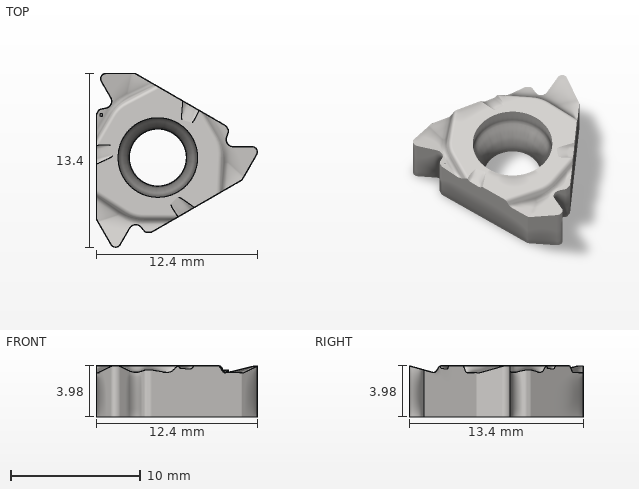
import cadquery as cq
import math

CORNER_ANGLES = (0, 120, 240)
TOP_Z = 3.98

SIDE_DISTANCE = 4.75
TIP_X = -3.26
TIP_END_Y = -6.93
TIP_RADIUS = 0.42
FLANK_ANGLE = 60
NOTCH_ANGLE = 49
NOTCH_RADIUS = 0.54
HEEL_Y = -5.79
HEEL_START_X = -0.95
HEEL_RADIUS = 0.27
HEEL_SIDE_RADIUS = 0.32
SIDE_CORNER_RADIUS = 0.21

RAKE_ANGLE = 15.7
RAKE_TIP_Z = 3.96
TILT_ANGLE = 5.1
TILT_SIDE_Z = 3.42
WALL_DRAFT = 30
WALL_TOP_RADIUS = 0.32
WALL_FOOT_RADIUS = 0.3
PLATFORM_Y = -4.42
PLATFORM_SIDE_Y = -2.5
PLATFORM_TURN = 32.4
PLATFORM_RADIUS = 2.35
WALL_BEND = (-1.76, -4.5)
POCKET_REACH = 5.37
POCKET_DEPTH = 1.21
BLOCK_SIZE = 53.72
FLOOR_EDGE_MAX_Z = 3.6

HOLE_RADIUS = 4.4 / 2
SEAT_RADIUS = 6.15 / 2
SEAT_FILLET = 0.47
FLARE_RADIUS = 3.49
FLARE_END_DEPTH = 3.56

GROOVE_END = (-3.53, 0.55)
GROOVE_TURN = 13.8
GROOVE_SLOPE = 11.0
GROOVE_FLOOR_WIDTH = 0.68
GROOVE_WALL_ANGLE = 46
GROOVE_FILLET = 0.3
GROOVE_LENGTH = 2.15
GROOVE_HEIGHT = 0.8

DIMPLE_CENTER = (-4.36, 3.29)
DIMPLE_DIAMETER = 0.21
DIMPLE_DEPTH = 0.07


def tan(degrees):
    return math.tan(math.radians(degrees))


def turned(point, degrees):
    """Turn a plan point about the hole axis."""
    angle = math.radians(degrees)
    x, y = point
    return (x * math.cos(angle) - y * math.sin(angle), x * math.sin(angle) + y * math.cos(angle))


def at_each_corner(shape):
    return [shape.rotate((0, 0, 0), (0, 0, 1), angle) for angle in CORNER_ANGLES]


def corner_outline():
    """Sharp outline vertices of the lower-left corner, each with its rounding radius."""
    apex_y = TIP_END_Y - TIP_RADIUS * (1 / math.cos(math.radians(FLANK_ANGLE)) - 1)
    flank = tan(FLANK_ANGLE)
    notch = tan(NOTCH_ANGLE)
    side_corner = (-SIDE_DISTANCE, apex_y + flank * (TIP_X + SIDE_DISTANCE))
    notch_x = (HEEL_Y - apex_y + flank * TIP_X + notch * HEEL_START_X) / (flank + notch)
    notch_corner = (notch_x, apex_y + flank * (notch_x - TIP_X))
    heel_end_x = 2 * SIDE_DISTANCE + math.sqrt(3) * HEEL_Y
    return [
        (side_corner, SIDE_CORNER_RADIUS),
        ((TIP_X, apex_y), TIP_RADIUS),
        (notch_corner, NOTCH_RADIUS),
        ((HEEL_START_X, HEEL_Y), HEEL_RADIUS),
        ((heel_end_x, HEEL_Y), HEEL_SIDE_RADIUS),
    ]


def make_blank():
    """Full-height prism with every outline corner rounded."""
    corner = corner_outline()
    points = [turned(point, angle) for angle in CORNER_ANGLES for point, radius in corner]
    blank = cq.Workplane("XY").polyline(points).close().extrude(TOP_Z)
    for point, radius in corner:
        for angle in CORNER_ANGLES:
            x, y = turned(point, angle)
            blank = blank.edges(cq.selectors.NearestToPointSelector((x, y, TOP_Z / 2))).fillet(radius)
    return blank


def pocket_plan():
    """Pocket limits at the top plane, before the wall's top edge is rounded."""
    offset = WALL_TOP_RADIUS * tan(WALL_DRAFT)
    turn = math.radians(PLATFORM_TURN)
    heel_y = PLATFORM_Y - offset
    side_y = PLATFORM_SIDE_Y - offset / math.cos(turn)
    slope = math.tan(turn)
    knee_x = -SIDE_DISTANCE + (side_y - heel_y) / slope
    tangent = (PLATFORM_RADIUS + offset) * math.tan(turn / 2)
    arc_start = (knee_x - tangent * math.cos(turn), heel_y + tangent * math.sin(turn))
    arc_middle = (
        knee_x + tangent - (PLATFORM_RADIUS + offset) * math.sin(turn / 2),
        heel_y + (PLATFORM_RADIUS + offset) * (1 - math.cos(turn / 2)),
    )
    left = -SIDE_DISTANCE - POCKET_REACH
    bottom = TIP_END_Y - POCKET_REACH
    return (
        cq.Workplane("XY", origin=(0, 0, TOP_Z))
        .moveTo(left, side_y + slope * POCKET_REACH)
        .lineTo(*arc_start)
        .threePointArc(arc_middle, (knee_x + tangent, heel_y))
        .lineTo(POCKET_REACH, heel_y)
        .lineTo(POCKET_REACH, bottom)
        .lineTo(left, bottom)
        .close()
    )


def above_plane(point, tilt_axis, angle):
    """Large block whose underside passes through the point, tilted about the given axis."""
    block = cq.Workplane("XY").box(BLOCK_SIZE, BLOCK_SIZE, BLOCK_SIZE, centered=(True, True, False))
    return block.rotate((0, 0, 0), tilt_axis, angle).translate(point)


def make_pocket():
    """Cutter for one chip pocket, with its floor and wall-foot edges rounded."""
    pocket = pocket_plan().extrude(-POCKET_DEPTH, taper=WALL_DRAFT)
    rake = above_plane((0, TIP_END_Y, RAKE_TIP_Z), (1, 0, 0), -RAKE_ANGLE)
    floor = above_plane((-SIDE_DISTANCE, 0, TILT_SIDE_Z), (0, 1, 0), TILT_ANGLE)
    pocket = pocket.intersect(rake).intersect(floor)
    floor_edges = cq.selectors.BoxSelector(
        (-SIDE_DISTANCE - POCKET_REACH, HEEL_Y, 0),
        (POCKET_REACH / 2, 0, FLOOR_EDGE_MAX_Z),
    )
    return pocket.edges(floor_edges).fillet(WALL_FOOT_RADIUS)


def make_hole():
    """Bore that flares out into a cylindrical seat; all stretches meet smoothly."""
    flare_z = TOP_Z - FLARE_END_DEPTH
    flare_center_x = HOLE_RADIUS + FLARE_RADIUS
    fillet_center_x = SEAT_RADIUS - SEAT_FILLET
    center_spacing = FLARE_RADIUS + SEAT_FILLET
    flare_angle = math.acos((flare_center_x - fillet_center_x) / center_spacing)
    seat_z = flare_z + center_spacing * math.sin(flare_angle)
    flare_top = (
        flare_center_x - FLARE_RADIUS * math.cos(flare_angle),
        flare_z + FLARE_RADIUS * math.sin(flare_angle),
    )
    profile = (
        cq.Workplane("XZ")
        .lineTo(HOLE_RADIUS, 0)
        .lineTo(HOLE_RADIUS, flare_z)
        .tangentArcPoint(flare_top, relative=False)
        .tangentArcPoint((SEAT_RADIUS, seat_z), relative=False)
        .lineTo(SEAT_RADIUS, TOP_Z)
        .lineTo(0, TOP_Z)
        .close()
    )
    return profile.revolve(360, (0, 0, 0), (0, 1, 0))


def make_groove():
    """Trapezoid groove running out to the flat top at its inner end."""
    x, y = GROOVE_END
    turn = math.radians(GROOVE_TURN)
    slope = math.radians(GROOVE_SLOPE)
    outward = (-math.cos(turn) * math.cos(slope), -math.sin(turn) * math.cos(slope), -math.sin(slope))
    across = (math.sin(turn), -math.cos(turn), 0)
    half = GROOVE_FLOOR_WIDTH / 2 + GROOVE_FILLET * tan((90 - GROOVE_WALL_ANGLE) / 2)
    half_top = half + GROOVE_HEIGHT * tan(GROOVE_WALL_ANGLE)
    section = cq.Workplane(cq.Plane(origin=(x, y, TOP_Z), xDir=across, normal=outward))
    groove = (
        section.moveTo(-half, 0)
        .lineTo(half, 0)
        .lineTo(half_top, GROOVE_HEIGHT)
        .lineTo(-half_top, GROOVE_HEIGHT)
        .close()
        .extrude(GROOVE_LENGTH)
    )
    for side in (-half, half):
        edge = section.plane.toWorldCoords((side, 0, GROOVE_LENGTH / 2))
        groove = groove.edges(cq.selectors.NearestToPointSelector(edge.toTuple())).fillet(GROOVE_FILLET)
    return groove


def cut_all(body, cutter):
    for shape in at_each_corner(cutter):
        body = body.cut(shape)
    return body


def round_wall_tops(body):
    """Round the top edge of each pocket wall; the bend of the wall picks the edge chain."""
    for angle in CORNER_ANGLES:
        x, y = turned(WALL_BEND, angle)
        body = body.edges(cq.selectors.NearestToPointSelector((x, y, TOP_Z))).fillet(WALL_TOP_RADIUS)
    return body


def make_dimple():
    """Plug that leaves a shallow flat-bottomed dimple in the sloping heel floor."""
    x, y = DIMPLE_CENTER
    corner_angle = CORNER_ANGLES[2]
    local_y = turned(DIMPLE_CENTER, -corner_angle)[1]
    floor_z = RAKE_TIP_Z - (local_y - TIP_END_Y) * tan(RAKE_ANGLE)
    return (
        cq.Workplane("XY", origin=(x, y, floor_z - DIMPLE_DEPTH))
        .circle(DIMPLE_DIAMETER / 2)
        .extrude(TOP_Z - floor_z + DIMPLE_DEPTH)
    )


result = round_wall_tops(cut_all(make_blank(), make_pocket()))
result = cut_all(result, make_groove())
result = result.cut(make_hole()).cut(make_dimple())